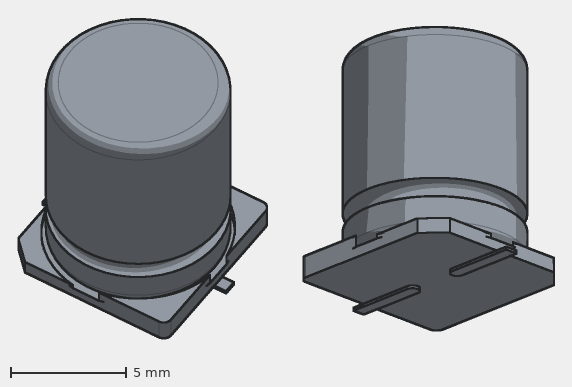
import cadquery as cq

TOTAL_HEIGHT = 10.51

LEAD_SPAN = 9.5
LEAD_GAP = 2.14
LEAD_WIDTH = 0.63
LEAD_THICKNESS = 0.14

BASE_WIDTH = 8.3
BASE_LOW_TOP = 0.82
BASE_HIGH_TOP = 1.17
BASE_CHAMFER = 1.0
BASE_CORNER_RADIUS = 0.38

SEAT_RADIUS = 4.2
SEAT_FLOOR = 0.63

CAN_RADIUS = 4.01
CAN_EDGE_RADIUS = 0.55
GROOVE_RADIUS = 0.43
GROOVE_DEPTH = 0.4
GROOVE_HEIGHT = 2.79


def make_base():
    """Square plate with the +X half raised, chamfered and rounded corners and a round seat."""
    thickness = BASE_HIGH_TOP - LEAD_THICKNESS
    plate = (
        cq.Workplane("XY")
        .workplane(offset=LEAD_THICKNESS)
        .rect(BASE_WIDTH, BASE_WIDTH)
        .extrude(thickness)
        .edges("|Z and <X")
        .chamfer(BASE_CHAMFER)
        .edges("|Z and >X")
        .fillet(BASE_CORNER_RADIUS)
    )
    low_half = (
        cq.Workplane("XY")
        .workplane(offset=BASE_LOW_TOP)
        .center(-BASE_WIDTH / 2, 0)
        .rect(BASE_WIDTH, BASE_WIDTH)
        .extrude(thickness)
    )
    seat = cq.Workplane("XY").workplane(offset=SEAT_FLOOR).circle(SEAT_RADIUS).extrude(thickness)
    return plate.cut(low_half).cut(seat)


def make_can():
    """Cylinder with rounded rims and a rolled groove near the bottom."""
    can = (
        cq.Workplane("XY")
        .workplane(offset=SEAT_FLOOR)
        .circle(CAN_RADIUS)
        .extrude(TOTAL_HEIGHT - SEAT_FLOOR)
        .edges("%CIRCLE")
        .fillet(CAN_EDGE_RADIUS)
    )
    groove_centre = CAN_RADIUS - GROOVE_DEPTH + GROOVE_RADIUS
    groove = (
        cq.Workplane("XZ")
        .center(groove_centre, GROOVE_HEIGHT)
        .circle(GROOVE_RADIUS)
        .revolve(360, (-groove_centre, 0), (-groove_centre, 1))
    )
    return can.cut(groove)


def make_leads():
    """Two flat strips under the plate, rounded at their inner ends and square at their outer ends."""
    inner_end = LEAD_GAP / 2
    half_width = LEAD_WIDTH / 2
    lead = (
        cq.Workplane("XY")
        .moveTo(LEAD_SPAN / 2, -half_width)
        .lineTo(LEAD_SPAN / 2, half_width)
        .lineTo(inner_end + half_width, half_width)
        .threePointArc((inner_end, 0), (inner_end + half_width, -half_width))
        .close()
        .extrude(LEAD_THICKNESS)
    )
    return lead.union(lead.mirror("YZ"))


result = make_base().union(make_can()).union(make_leads())